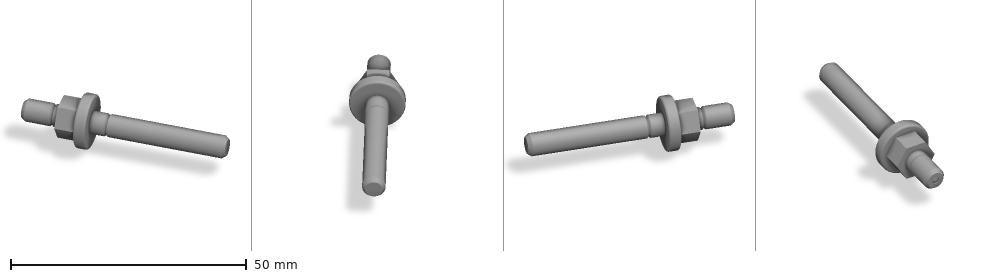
import cadquery as cq

length = 45.3
stud_radius = 2.5

end_taper_length = 0.85
end_taper_depth = 0.65

groove_centers = (6.75, 18.8)
groove_half_width = 0.4
groove_depth = 0.4

hex_start = 8.25
hex_across_flats = 8.0
flange_start = 12.75
flange_thickness = 2.67
flange_radius = 6.0
flange_rounding = 0.5

recess_radius = 0.75
recess_depth = 0.25
dome_height = 0.23


def revolve_about_x(points):
    """Turn a closed (x, radius) outline about the X axis."""
    return cq.Workplane("XY").polyline(points).close().revolve(360, (0, 0, 0), (1, 0, 0))


def make_stud():
    tip_radius = stud_radius - end_taper_depth
    outline = [(0, 0), (0, tip_radius), (end_taper_length, stud_radius)]
    for center in groove_centers:
        outline += [
            (center - groove_half_width, stud_radius),
            (center, stud_radius - groove_depth),
            (center + groove_half_width, stud_radius),
        ]
    outline += [(length - end_taper_length, stud_radius), (length, tip_radius), (length, 0)]
    return revolve_about_x(outline)


def make_hexagon():
    return (
        cq.Workplane("YZ", origin=(hex_start, 0, 0))
        .polygon(6, hex_across_flats, circumscribed=True)
        .extrude(flange_start - hex_start)
        .rotate((0, 0, 0), (1, 0, 0), 30)
    )


def make_flange():
    return (
        cq.Workplane("YZ", origin=(flange_start, 0, 0))
        .circle(flange_radius)
        .extrude(flange_thickness)
        .edges("%CIRCLE")
        .fillet(flange_rounding)
    )


def make_recess():
    """Round pocket whose floor bulges back toward the open end."""
    sphere_radius = (recess_radius**2 + dome_height**2) / (2 * dome_height)
    dome_top = recess_depth - dome_height
    dome = cq.Workplane("XY").sphere(sphere_radius).translate((dome_top + sphere_radius, 0, 0))
    pocket = cq.Workplane("YZ").circle(recess_radius).extrude(recess_depth)
    return pocket.cut(dome)


result = make_stud().union(make_flange()).union(make_hexagon()).cut(make_recess())